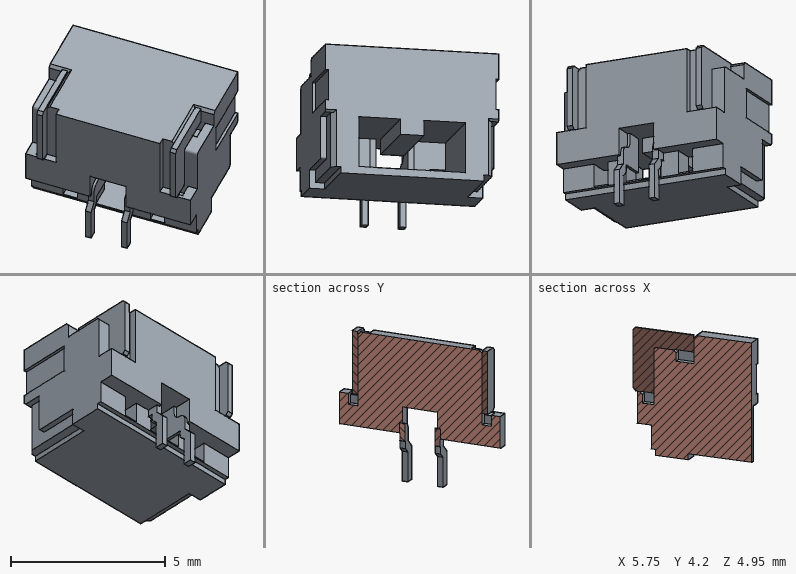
import cadquery as cq


half_width = 2.875
front_y = 0.15
back_y = 4.2
top_z = 4.255

overhang_z = 1.005
web_front_y = 0.65
foot_front_y = 0.8
foot_z = 0.2

tab_outer_x = 2.42
tab_inner_x = 2.225
tab_back_y = 2.15
tab_leg_y = 0.735
tab_arm_z = 3.67
tab_bottom_z = 2.1
edge_chamfer = 0.1
tab_corner_radius = 0.1
clearance_inner_x = 1.81
clearance_back_y = 0.39

arm_slot_outer_x = 2.57
arm_slot_front_y = 1.45
leg_slot_outer_x = 2.555
leg_slot_front_y = 0.26
slot_depth = 0.375
slot_chamfer = 0.085

pocket_front_y = 2.345
pocket_bottom_z = 2.405
pocket_top_z = 3.41
pocket_depth = 0.1

relief_top_z = 2.01
relief_upright_y = 3.5
relief_front_y = 1.955
relief_ledge_z = 0.615
relief_depth = 0.195
relief_lead_in = 0.155
relief_radius = 0.05
relief_bevel = 0.075
floor_inset = 0.5

cavity_half_width = 1.77
cavity_front_y = 1.38
cavity_floor_z = 0.25
cavity_ceiling_z = 1.905
notch_half_width = 0.62
window_inner_x = 1.27
rib_half_width = 0.385
rib_bottom_z = 1.4

pin_inner_x = 0.53
pin_outer_x = 0.73
pin_front_y = 0.26
pin_bend_radius = 0.25
pin_shoulder_z = 1.105
pin_underside_z = 0.75
pin_neck_back_y = 0.48
pin_neck_radius = 0.03
pin_tail_back_y = 0.3
front_bend_z = 0.71
back_bend_top_z = 0.495
back_bend_bottom_z = 0.33
bend_rise = pin_front_y
tail_bottom_z = -0.695


def block(x0, x1, y0, y1, z0, z1):
    """Axis-aligned box between two opposite corners."""
    return cq.Workplane("XY").box(x1 - x0, y1 - y0, z1 - z0, centered=False).translate((x0, y0, z0))


def plate(profile, x0, x1):
    """Extrude a closed YZ profile from x0 to x1."""
    return profile.extrude(x1 - x0).translate((x0, 0, 0))


def on_both_sides(shape):
    """Return the +X shape and its mirror image on the -X side."""
    return [shape, shape.mirror("YZ")]


def close_along_tab_edge(profile):
    """Close a YZ profile along the L-shaped edge shared by a tab and its recess."""
    return (
        profile
        .lineTo(tab_leg_y, tab_bottom_z)
        .lineTo(tab_leg_y, tab_arm_z - tab_corner_radius)
        .radiusArc((tab_leg_y + tab_corner_radius, tab_arm_z), tab_corner_radius)
        .lineTo(tab_back_y, tab_arm_z)
        .close()
    )


def tab():
    """L-shaped plate on the +X side, with its two board-side corners chamfered."""
    profile = (
        cq.Workplane("YZ")
        .moveTo(tab_back_y, top_z)
        .lineTo(edge_chamfer, top_z)
        .lineTo(0, top_z - edge_chamfer)
        .lineTo(0, tab_bottom_z + edge_chamfer)
        .lineTo(edge_chamfer, tab_bottom_z)
    )
    return plate(close_along_tab_edge(profile), tab_inner_x, tab_outer_x)


def pin():
    """Stamped pin on the +X side: blade, rounded shoulder and cranked tail."""
    shoulder_back_y = pin_front_y + pin_bend_radius
    blade_front_y = shoulder_back_y + pin_bend_radius
    shoulder_top_z = pin_shoulder_z + pin_bend_radius
    blade_bend_z = shoulder_top_z + pin_bend_radius
    profile = (
        cq.Workplane("YZ")
        .moveTo(cavity_front_y, cavity_ceiling_z)
        .lineTo(blade_front_y, cavity_ceiling_z)
        .lineTo(blade_front_y, blade_bend_z)
        .radiusArc((shoulder_back_y, shoulder_top_z), pin_bend_radius)
        .radiusArc((pin_front_y, pin_shoulder_z), -pin_bend_radius)
        .lineTo(pin_front_y, front_bend_z)
        .lineTo(0, front_bend_z - bend_rise)
        .lineTo(0, tail_bottom_z)
        .lineTo(pin_tail_back_y, tail_bottom_z)
        .lineTo(pin_tail_back_y, back_bend_bottom_z)
        .lineTo(pin_neck_back_y, back_bend_top_z)
        .lineTo(pin_neck_back_y, pin_underside_z - pin_neck_radius)
        .radiusArc((pin_neck_back_y + pin_neck_radius, pin_underside_z), pin_neck_radius)
        .lineTo(cavity_front_y, pin_underside_z)
        .close()
    )
    return plate(profile, pin_inner_x, pin_outer_x)


def housing_blank():
    """Full-width block with the stepped front below the overhang."""
    profile = cq.Workplane("YZ").polyline([
        (front_y, top_z),
        (back_y, top_z),
        (back_y, 0),
        (foot_front_y, 0),
        (foot_front_y, foot_z),
        (web_front_y, foot_z),
        (web_front_y, overhang_z),
        (front_y, overhang_z),
    ]).close()
    return plate(profile, -half_width, half_width)


def tab_recess():
    """Corner cut around one tab, with a chamfered rim along the top."""
    profile = (
        cq.Workplane("YZ")
        .moveTo(tab_back_y, top_z)
        .lineTo(0, top_z)
        .lineTo(0, tab_bottom_z)
    )
    pocket = plate(close_along_tab_edge(profile), tab_inner_x, half_width)
    clearance = block(clearance_inner_x, half_width, front_y, clearance_back_y, tab_bottom_z, top_z)
    rim_bottom_z = top_z - edge_chamfer
    back_wedge = plate(cq.Workplane("YZ").polyline([
        (0, rim_bottom_z),
        (tab_back_y, rim_bottom_z),
        (tab_back_y + edge_chamfer, top_z),
        (0, top_z),
    ]).close(), 0, half_width)
    inner_wedge = cq.Workplane("XZ").polyline([
        (half_width, rim_bottom_z),
        (tab_inner_x, rim_bottom_z),
        (tab_inner_x - edge_chamfer, top_z),
        (half_width, top_z),
    ]).close().extrude(-back_y)
    rim = back_wedge.intersect(inner_wedge)
    return pocket.union(clearance).union(rim)


def tab_slot(outer_x, slot_front_y, slot_back_y, floor_z):
    """Slot sunk in a recess floor, with a sloped lead-in at its front end."""
    profile = cq.Workplane("YZ").polyline([
        (slot_front_y, floor_z),
        (slot_back_y, floor_z),
        (slot_back_y, floor_z - slot_depth),
        (slot_front_y + slot_chamfer, floor_z - slot_depth),
        (slot_front_y + slot_chamfer, floor_z - slot_chamfer),
    ]).close()
    return plate(profile, tab_inner_x, outer_x)


def side_pocket():
    """Shallow pocket in the side wall, open at the back."""
    return block(half_width - pocket_depth, half_width, pocket_front_y, back_y,
                 pocket_bottom_z, pocket_top_z)


def back_relief():
    """L-shaped side relief with a back lead-in and a deeper cut along the floor."""
    profile = (
        cq.Workplane("YZ")
        .moveTo(back_y, 0)
        .lineTo(back_y, relief_top_z + relief_bevel)
        .lineTo(back_y - relief_bevel, relief_top_z)
        .lineTo(relief_upright_y, relief_top_z)
        .lineTo(relief_upright_y, relief_ledge_z + relief_radius)
        .radiusArc((relief_upright_y - relief_radius, relief_ledge_z), relief_radius)
        .lineTo(relief_front_y, relief_ledge_z)
        .lineTo(relief_front_y, 0)
        .close()
    )
    relief_x = half_width - relief_depth
    plan = cq.Workplane("XY").polyline([
        (half_width, back_y),
        (relief_x - relief_lead_in, back_y),
        (relief_x, back_y - relief_lead_in),
        (relief_x, relief_front_y),
        (half_width, relief_front_y),
    ]).close()
    relief = plate(profile, 0, half_width).intersect(plan.extrude(top_z))
    floor_cut = block(half_width - floor_inset, half_width, relief_front_y, back_y, 0, foot_z)
    return relief.union(floor_cut)


def cavity():
    """Cavity with a rib under its ceiling and a central notch to the front."""
    room = block(-cavity_half_width, cavity_half_width, cavity_front_y, back_y,
                 cavity_floor_z, cavity_ceiling_z)
    rib = block(-rib_half_width, rib_half_width, cavity_front_y, back_y,
                rib_bottom_z, cavity_ceiling_z)
    notch = block(-notch_half_width, notch_half_width, front_y, cavity_front_y,
                  cavity_floor_z, cavity_ceiling_z)
    return room.cut(rib).union(notch)


def wall_window():
    """Opening through the cavity's front wall, beside the central notch."""
    return block(window_inner_x, cavity_half_width, web_front_y, cavity_front_y,
                 cavity_floor_z, overhang_z)


tabs = on_both_sides(tab())
pins = on_both_sides(pin())

side_cuts = [
    tab_recess(),
    tab_slot(arm_slot_outer_x, arm_slot_front_y, tab_back_y, tab_arm_z),
    tab_slot(leg_slot_outer_x, leg_slot_front_y, tab_leg_y, tab_bottom_z),
    side_pocket(),
    back_relief(),
    wall_window(),
]

housing = housing_blank().cut(cavity())
for side_cut in side_cuts:
    for cutter in on_both_sides(side_cut):
        housing = housing.cut(cutter)
for contact in pins:
    housing = housing.cut(contact)

result = cq.Compound.makeCompound([
    housing.val(),
    *[solder_tab.val() for solder_tab in tabs],
    *[contact.val() for contact in pins],
])